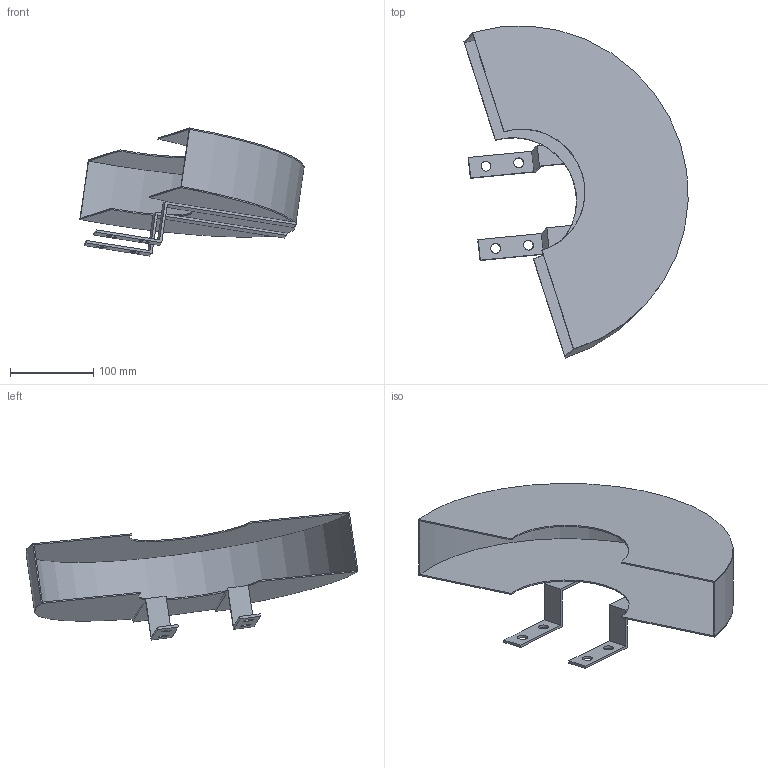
import cadquery as cq

outer_radius = 200.0
bore_radius = 75.0
wall_height = 70.0
sheet = 1.5
guard_height = wall_height + 2 * sheet

strip_width = 25.0
strip_thickness = 3.0
bracket_height = 50.0
foot_length = 80.0
arm_length = 160.0
arm_start = 35.0
bracket_spacing = 100.0
hole_diameter = 12.0
hole_inset = 20.0
hole_spacing = foot_length - 2 * hole_inset

tilt_x = -8.34
tilt_y = 8.13
guard_turn = 17.84
bracket_turn = 6.73


def place(body, turn):
    """Turn a body about the ring axis, then tilt it with the assembly."""
    turned = body.rotate((0, 0, 0), (0, 0, 1), turn)
    pitched = turned.rotate((0, 0, 0), (0, 1, 0), tilt_y)
    return pitched.rotate((0, 0, 0), (1, 0, 0), tilt_x)


def half_ring(inner, height, base):
    """Half ring on the +X side of the axis, reaching the guard's outer radius."""
    return (
        cq.Workplane("XY")
        .workplane(offset=base)
        .moveTo(0, inner)
        .lineTo(0, outer_radius)
        .threePointArc((outer_radius, 0), (0, -outer_radius))
        .lineTo(0, -inner)
        .threePointArc((inner, 0), (0, inner))
        .close()
        .extrude(height)
    )


def make_bracket(centre_y):
    """Z-shaped strip: arm under the guard, upright, and a foot with two bolt holes."""
    foot_start = arm_start + strip_thickness - foot_length
    strip = (
        cq.Workplane("XZ", origin=(0, centre_y, 0))
        .moveTo(arm_start, 0)
        .lineTo(arm_start + arm_length, 0)
        .lineTo(arm_start + arm_length, -strip_thickness)
        .lineTo(arm_start + strip_thickness, -strip_thickness)
        .lineTo(arm_start + strip_thickness, -bracket_height)
        .lineTo(foot_start, -bracket_height)
        .lineTo(foot_start, strip_thickness - bracket_height)
        .lineTo(arm_start, strip_thickness - bracket_height)
        .close()
        .extrude(strip_width / 2, both=True)
    )
    first_hole = foot_start + hole_inset
    holes = (
        cq.Workplane("XY", origin=(0, centre_y, -bracket_height))
        .pushPoints([(first_hole, 0), (first_hole + hole_spacing, 0)])
        .circle(hole_diameter / 2)
        .extrude(strip_thickness)
    )
    return strip.cut(holes)


bottom_plate = place(half_ring(bore_radius, sheet, 0), guard_turn)
outer_wall = place(half_ring(outer_radius - sheet, wall_height, sheet), guard_turn)
top_plate = place(half_ring(bore_radius, sheet, guard_height - sheet), guard_turn)
brackets = [
    place(make_bracket(side * bracket_spacing / 2), bracket_turn)
    for side in (-1, 1)
]

result = cq.Compound.makeCompound(
    [bottom_plate.val(), outer_wall.val(), top_plate.val()]
    + [bracket.val() for bracket in brackets]
)